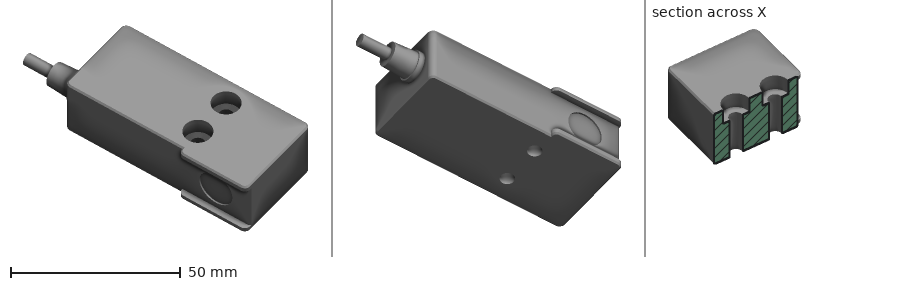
import cadquery as cq

TOTAL_LENGTH = 88.0
TOTAL_WIDTH = 32.0
HEIGHT = 20.0
LIP_OVERHANG = 2.0
LIP_THICKNESS = 1.9
LIP_START = 43.1
CORNER_RADIUS = 1.9
EDGE_CHAMFER = 0.5

CABLE_LENGTH = 10.0
CABLE_DIAMETER = 4.05
TAPER_LENGTH = 8.0
TAPER_TIP_DIAMETER = 8.0
TAPER_BASE_DIAMETER = 9.0
COLLAR_LENGTH = 1.9
COLLAR_DIAMETER = 10.0
CABLE_FROM_BACK = 21.6

HOLE_X = 42.9
HOLE_DIAMETER = 4.6
COUNTERBORE_DIAMETER = 9.15
COUNTERBORE_DEPTH = 5.4
FIRST_HOLE_FROM_BACK = 8.0
HOLE_SPACING = 14.0

WINDOW_X = 55.4
WINDOW_DIAMETER = 12.1
WINDOW_DEPTH = 0.5

body_length = TOTAL_LENGTH - CABLE_LENGTH - TAPER_LENGTH - COLLAR_LENGTH
back_y = TOTAL_WIDTH / 2
lip_y = -TOTAL_WIDTH / 2
front_y = lip_y + LIP_OVERHANG
cable_y = back_y - CABLE_FROM_BACK


def make_housing():
    """Block with a front step, rounded outer corners and chamfered rims."""
    block = (
        cq.Workplane("XY")
        .workplane(offset=-HEIGHT / 2)
        .moveTo(0, back_y)
        .lineTo(body_length, back_y)
        .lineTo(body_length, lip_y)
        .lineTo(LIP_START, lip_y)
        .lineTo(LIP_START, front_y)
        .lineTo(0, front_y)
        .close()
        .extrude(HEIGHT)
    )
    inner_corner = cq.selectors.NearestToPointSelector((LIP_START, front_y, 0))
    upright = cq.selectors.StringSyntaxSelector("|Z")
    outer_corners = block.edges(upright - inner_corner)
    rounded = outer_corners.fillet(CORNER_RADIUS)
    return rounded.faces("|Z").edges().chamfer(EDGE_CHAMFER)


def make_lip_gap():
    """Space between the lips, with a sloped end that bevels the recessed corner."""
    return (
        cq.Workplane("XY")
        .moveTo(LIP_START, lip_y)
        .lineTo(LIP_START, front_y)
        .lineTo(body_length - EDGE_CHAMFER, front_y)
        .lineTo(body_length, front_y + EDGE_CHAMFER)
        .lineTo(body_length, lip_y)
        .close()
        .extrude(HEIGHT / 2 - LIP_THICKNESS, both=True)
    )


def make_cable_exit():
    """Collar, tapered strain relief and cable as one turned body."""
    taper_base_x = -COLLAR_LENGTH
    taper_tip_x = taper_base_x - TAPER_LENGTH
    cable_end_x = taper_tip_x - CABLE_LENGTH
    return (
        cq.Workplane("XY", origin=(0, cable_y, 0))
        .lineTo(0, COLLAR_DIAMETER / 2)
        .lineTo(taper_base_x, COLLAR_DIAMETER / 2)
        .lineTo(taper_base_x, TAPER_BASE_DIAMETER / 2)
        .lineTo(taper_tip_x, TAPER_TIP_DIAMETER / 2)
        .lineTo(taper_tip_x, CABLE_DIAMETER / 2)
        .lineTo(cable_end_x, CABLE_DIAMETER / 2)
        .lineTo(cable_end_x, 0)
        .close()
        .revolve(360, (0, 0, 0), (1, 0, 0))
    )


def make_window():
    """Shallow round recess reaching into the front face."""
    return (
        cq.Workplane("XZ", origin=(WINDOW_X, front_y, 0))
        .circle(WINDOW_DIAMETER / 2)
        .extrude(-WINDOW_DEPTH)
    )


first_hole_y = back_y - FIRST_HOLE_FROM_BACK
hole_centers = [(HOLE_X, first_hole_y), (HOLE_X, first_hole_y - HOLE_SPACING)]

housing = make_housing().cut(make_lip_gap()).cut(make_window())
result = (
    housing.union(make_cable_exit())
    .copyWorkplane(cq.Workplane("XY", origin=(0, 0, HEIGHT / 2)))
    .pushPoints(hole_centers)
    .cboreHole(HOLE_DIAMETER, COUNTERBORE_DIAMETER, COUNTERBORE_DEPTH)
)